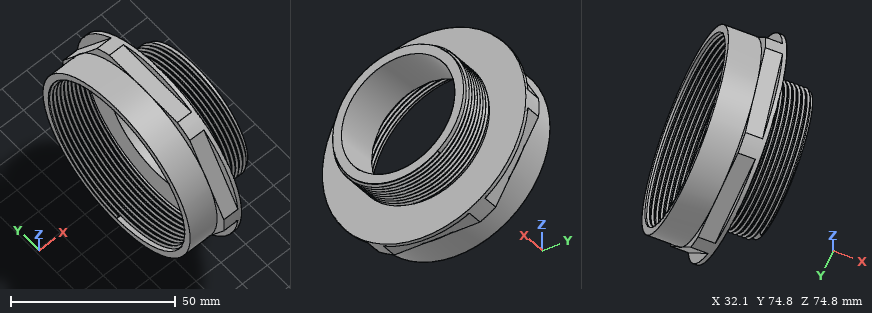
import cadquery as cq

socket_length = 10.85
hex_length = 5.7
flange_thickness = 1.4
spigot_length = 14.1
hex_end = socket_length + hex_length
flange_end = hex_end + flange_thickness
total_length = flange_end + spigot_length

flange_diameter = 74.85
socket_diameter = 68.35
socket_bore_diameter = 63.25
socket_bore_depth = 15.6
spigot_diameter = 48.1
through_bore_diameter = 41.6
hex_across_flats = 67.9
hex_turn = 30.0

thread_pitch = 1.5
ridge_height = 0.75
ridge_base = 1.3
root_overlap = 0.1

spigot_thread_start = flange_end + 0.75
spigot_thread_turns = 8.4
spigot_thread_angle = 163.0
socket_thread_start = 0.75
socket_thread_turns = 9.4
socket_thread_angle = -90.0


def cylinder(diameter, start, length):
    """Solid cylinder on the X axis."""
    return cq.Workplane("YZ", origin=(start, 0, 0)).circle(diameter / 2).extrude(length)


def hexagon_body():
    """Hexagon with flats facing up and down, its corners rounded to the flange diameter."""
    hexagon = (
        cq.Workplane("YZ", origin=(socket_length, 0, 0))
        .polygon(6, hex_across_flats, circumscribed=True)
        .extrude(hex_length)
    )
    hexagon = hexagon.rotate((0, 0, 0), (1, 0, 0), hex_turn)
    return hexagon.intersect(cylinder(flange_diameter, socket_length, hex_length))


def thread_ridge(root_diameter, outward, turns, start, angle):
    """Helical ridge on the X axis; outward is 1 for an outer wall, -1 for a bore."""
    root_radius = root_diameter / 2
    foot_radius = root_radius - outward * root_overlap
    crest_radius = root_radius + outward * ridge_height
    helix = cq.Wire.makeHelix(thread_pitch, turns * thread_pitch, root_radius)
    ridge = (
        cq.Workplane("XZ")
        .polyline([
            (foot_radius, -ridge_base / 2),
            (crest_radius, 0),
            (foot_radius, ridge_base / 2),
        ])
        .close()
        .sweep(cq.Workplane(helix), isFrenet=True)
    )
    along_x = ridge.rotate((0, 0, 0), (0, 1, 0), 90)
    return along_x.rotate((0, 0, 0), (1, 0, 0), angle + 90).translate((start, 0, 0))


body = cylinder(socket_diameter, 0, socket_length)
body = body.union(hexagon_body())
body = body.union(cylinder(flange_diameter, hex_end, flange_thickness))
body = body.union(cylinder(spigot_diameter, flange_end, spigot_length))

body = body.cut(cylinder(socket_bore_diameter, 0, socket_bore_depth))
body = body.cut(cylinder(through_bore_diameter, 0, total_length))

body = body.union(
    thread_ridge(spigot_diameter, 1, spigot_thread_turns, spigot_thread_start, spigot_thread_angle)
)
result = body.union(
    thread_ridge(socket_bore_diameter, -1, socket_thread_turns, socket_thread_start, socket_thread_angle)
)